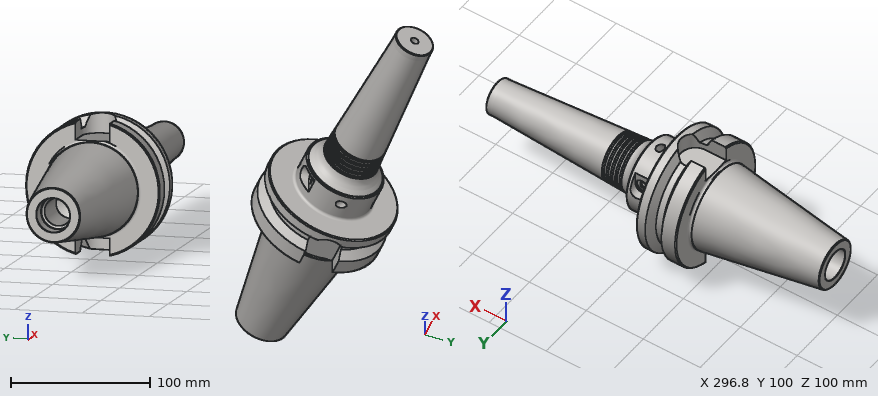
import cadquery as cq
import math


total_length = 296.8
taper_length = 101.8
flange_start = 104.8
flange_end = 139.8
collar_end = 163.0
neck_start = 172.0
nose_start = 291.2

taper_end_radius = 69.7 / 2
taper_slope = 7 / 24 / 2
taper_start_radius = taper_end_radius - taper_length * taper_slope
taper_chamfer = 0.5
relief_radius = 69.0 / 2
relief_fillet = 2.0

flange_radius = 100.0 / 2
flange_chamfer = 1.0
groove_start = 117.5
groove_end = 131.8
groove_depth = 7.5
groove_flank_angle = 30
groove_run = groove_depth * math.tan(math.radians(groove_flank_angle))

collar_radius = 60.0 / 2
collar_fillet = 2.0
collar_chamfer = 1.0
shoulder_top_radius = 28.5
shoulder_mid_radius = 25.2
shoulder_mid = 165.5

nose_radius = 29.0 / 2
nose_chamfer = 0.5
neck_radius = 21.0

ring_count = 5
ring_span = 16.0
ring_pitch = ring_span / (ring_count - 1)
ring_width = 1.8
ring_depth = 0.5
first_ring = 173.3

bore_mouth_radius = 25.5 / 2
bore_radius = 25.0 / 2
bore_depth = 12.0
thread_mouth_radius = 24.0 / 2
thread_radius = 20.5 / 2
thread_depth = 44.5
drill_tip_half_angle = 59
coolant_radius = 6.0 / 2

drive_slot_width = 25.5
drive_slot_floor = 35.3
drive_slot_end = 135.5

pocket_x = 153.7
pocket_width = 12.0
pocket_floor = 22.5
pocket_offset = 9.2
screw_bore_diameter = 11.0
screw_bore_depth = 1.5
screw_recess_diameter = 5.5
screw_recess_depth = 1.0
screw_socket_diameter = 4.2
angled_hole_diameter = 6.2
angled_hole_depth = 20.8
angled_hole_tilt = 40


def neck_radius_at(x):
    """Radius of the slender cone that runs from the neck to the nose."""
    fraction = (x - neck_start) / (nose_start - neck_start)
    return neck_radius + fraction * (nose_radius - neck_radius)


def make_body():
    """Revolve the outer profile, drawn as X and radius."""
    profile = (
        cq.Workplane("XY")
        .lineTo(0, taper_start_radius - taper_chamfer)
        .lineTo(taper_chamfer, taper_start_radius + taper_chamfer * taper_slope)
        .lineTo(taper_length, taper_end_radius)
        .lineTo(taper_length, relief_radius)
        .lineTo(flange_start - relief_fillet, relief_radius)
        .radiusArc((flange_start, relief_radius + relief_fillet), -relief_fillet)
        .lineTo(flange_start, flange_radius - flange_chamfer)
        .lineTo(flange_start + flange_chamfer, flange_radius)
        .lineTo(groove_start, flange_radius)
        .lineTo(groove_start + groove_run, flange_radius - groove_depth)
        .lineTo(groove_end - groove_run, flange_radius - groove_depth)
        .lineTo(groove_end, flange_radius)
        .lineTo(flange_end - flange_chamfer, flange_radius)
        .lineTo(flange_end, flange_radius - flange_chamfer)
        .lineTo(flange_end, collar_radius + collar_fillet)
        .radiusArc((flange_end + collar_fillet, collar_radius), -collar_fillet)
        .lineTo(collar_end - collar_chamfer, collar_radius)
        .lineTo(collar_end, collar_radius - collar_chamfer)
        .lineTo(collar_end, shoulder_top_radius)
        .lineTo(shoulder_mid, shoulder_mid_radius)
        .tangentArcPoint((neck_start, neck_radius), relative=False)
        .lineTo(nose_start, nose_radius)
        .lineTo(total_length - nose_chamfer, nose_radius)
        .lineTo(total_length, nose_radius - nose_chamfer)
        .lineTo(total_length, 0)
        .close()
    )
    return profile.revolve(360, (0, 0, 0), (1, 0, 0))


def make_ring_groove(index):
    """Shallow square groove around the neck."""
    start = first_ring + index * ring_pitch
    floor_radius = neck_radius_at(start + ring_width / 2) - ring_depth
    ring = cq.Workplane("YZ").workplane(offset=start).circle(neck_radius * 2).circle(floor_radius)
    return ring.extrude(ring_width)


def make_bore():
    """Stepped drawbar bore with a drill tip that leads into the coolant channel."""
    mouth_chamfer = bore_mouth_radius - bore_radius
    tip_length = (thread_radius - coolant_radius) / math.tan(math.radians(drill_tip_half_angle))
    profile = (
        cq.Workplane("XY")
        .lineTo(0, bore_mouth_radius)
        .lineTo(mouth_chamfer, bore_radius)
        .lineTo(bore_depth, bore_radius)
        .lineTo(bore_depth, thread_mouth_radius)
        .lineTo(bore_depth + thread_mouth_radius - thread_radius, thread_radius)
        .lineTo(thread_depth, thread_radius)
        .lineTo(thread_depth + tip_length, coolant_radius)
        .lineTo(total_length, coolant_radius)
        .lineTo(total_length, 0)
        .close()
    )
    return profile.revolve(360, (0, 0, 0), (1, 0, 0))


def make_drive_slot():
    """Round-ended slot in the top of the flange, open towards the taper."""
    half_width = drive_slot_width / 2
    slot = (
        cq.Workplane("XY", origin=(0, 0, drive_slot_floor))
        .moveTo(taper_length, -half_width)
        .lineTo(drive_slot_end - half_width, -half_width)
        .threePointArc((drive_slot_end, 0), (drive_slot_end - half_width, half_width))
        .lineTo(taper_length, half_width)
        .close()
    )
    return slot.extrude(flange_radius)


def make_screw_pocket():
    """Flat pocket on the -Y side of the collar with a screw seat at its rounded upper end."""
    half_width = pocket_width / 2
    floor = cq.Workplane("XZ", origin=(pocket_x, -pocket_floor, -pocket_offset))
    pocket = (
        floor.moveTo(-half_width, 0)
        .threePointArc((0, half_width), (half_width, 0))
        .lineTo(half_width, -collar_radius)
        .lineTo(-half_width, -collar_radius)
        .close()
        .extrude(collar_radius)
    )
    recess_floor = screw_bore_depth + screw_recess_depth
    seat_profile = (
        cq.Workplane("XY")
        .lineTo(screw_bore_diameter / 2, 0)
        .lineTo(screw_bore_diameter / 2, screw_bore_depth)
        .lineTo(screw_recess_diameter / 2, screw_bore_depth)
        .lineTo(screw_recess_diameter / 2, recess_floor)
        .lineTo(screw_socket_diameter / 2, recess_floor)
        .lineTo(0, recess_floor + screw_socket_diameter / 2)
        .close()
    )
    seat = seat_profile.revolve(360, (0, 0, 0), (0, 1, 0))
    return pocket.union(seat.translate((pocket_x, -pocket_floor, -pocket_offset)))


def make_angled_hole():
    """Blind hole in the top of the collar that leans towards -Y as it goes down."""
    overshoot = angled_hole_diameter
    drill = (
        cq.Workplane("XY")
        .workplane(offset=overshoot)
        .circle(angled_hole_diameter / 2)
        .extrude(-overshoot - angled_hole_depth)
    )
    return drill.rotate((0, 0, 0), (1, 0, 0), -angled_hole_tilt).translate((pocket_x, 0, collar_radius))


result = make_body().cut(make_bore())
for ring_index in range(ring_count):
    result = result.cut(make_ring_groove(ring_index))

for angle in (0, 180):
    for cutter in (make_drive_slot(), make_screw_pocket(), make_angled_hole()):
        result = result.cut(cutter.rotate((0, 0, 0), (1, 0, 0), angle))